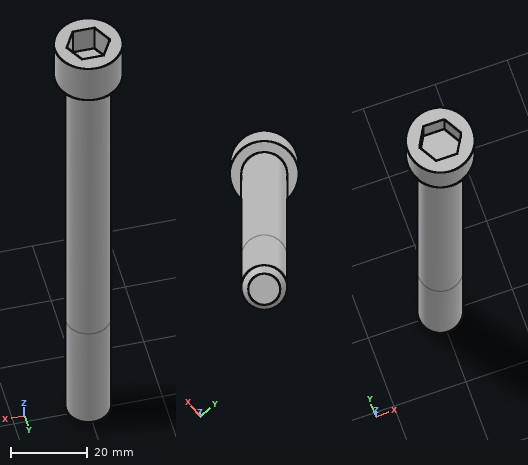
import cadquery as cq
import math

total_length = 142.0
head_diameter = 18.0
shank_diameter = 12.0
head_height = shank_diameter
thread_length = 36.0
tip_chamfer = 1.8
socket_across_flats = 10.1
socket_depth = 8.0

shank_length = total_length - head_height
plain_length = shank_length - thread_length
socket_across_corners = socket_across_flats / math.cos(math.pi / 6)


def make_threaded_end():
    """Smooth cylinder standing for the thread, chamfered at the tip."""
    cylinder = cq.Workplane("XY").circle(shank_diameter / 2).extrude(thread_length)
    return cylinder.faces("<Z").chamfer(tip_chamfer)


def make_plain_shank():
    start = cq.Workplane("XY").workplane(offset=thread_length)
    return start.circle(shank_diameter / 2).extrude(plain_length)


def make_head():
    """Cylindrical head with a blind hexagon socket, corners on the X axis."""
    head = cq.Workplane("XY").workplane(offset=shank_length)
    head = head.circle(head_diameter / 2).extrude(head_height)
    socket = cq.Workplane("XY").workplane(offset=total_length)
    socket = socket.polygon(6, socket_across_corners).extrude(-socket_depth)
    return head.cut(socket)


result = make_threaded_end().union(make_plain_shank(), clean=False).union(make_head(), clean=False)